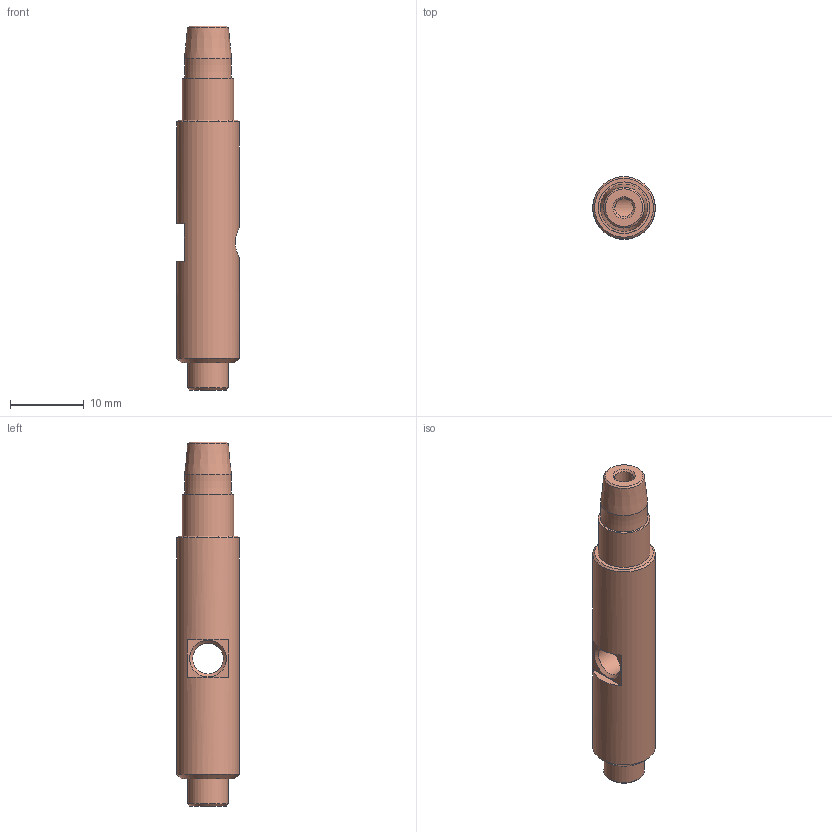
import cadquery as cq

total_length = 49.5
spigot_length = 3.7
body_length = 33.0
neck_length = 5.7
relief_length = 2.7
body_top = spigot_length + body_length
neck_top = body_top + neck_length
taper_start = neck_top + relief_length

body_diameter = 8.5
neck_diameter = 7.0
relief_end_diameter = 6.4
relief_waist_diameter = 6.3
tip_diameter = 5.5
spigot_diameter = 5.5

spigot_chamfer = 0.3
body_lower_chamfer = 0.6
body_upper_chamfer = 0.25
tip_chamfer = 0.2

flat_height = 5.1
flat_depth = 1.05
flat_x = flat_depth - body_diameter / 2
flat_center = 20.05
cross_hole_diameter = 4.2
cross_hole_countersink_depth = 0.4

bore_diameter = 2.5
bore_chamfer = 0.25


def cone_between(lower_radius, upper_radius, height):
    """Cone frustum standing on the XY plane."""
    profile = [(0, 0), (lower_radius, 0), (upper_radius, height), (0, height)]
    return cq.Workplane("XZ").polyline(profile).close().revolve(360, (0, 0), (0, 1))


def turned_section(diameter, length, lower_chamfer=0, upper_chamfer=0):
    """Cylinder standing on the XY plane with optional chamfers on its end edges."""
    section = cq.Workplane("XY").circle(diameter / 2).extrude(length)
    if lower_chamfer > 0:
        section = section.faces("<Z").chamfer(lower_chamfer)
    if upper_chamfer > 0:
        section = section.faces(">Z").chamfer(upper_chamfer)
    return section


def relief():
    """Shallow concave waist standing on the XY plane."""
    end_radius = relief_end_diameter / 2
    waist_radius = relief_waist_diameter / 2
    profile = (
        cq.Workplane("XZ")
        .lineTo(end_radius, 0)
        .threePointArc((waist_radius, relief_length / 2), (end_radius, relief_length))
        .lineTo(0, relief_length)
        .close()
    )
    return profile.revolve(360, (0, 0), (0, 1))


def shaft():
    """Stepped outer shape: spigot, body, neck, relief and tapered tip."""
    spigot = turned_section(spigot_diameter, spigot_length, spigot_chamfer)
    body = turned_section(body_diameter, body_length, body_lower_chamfer, body_upper_chamfer)
    neck = turned_section(neck_diameter, neck_length)
    tip = cone_between(relief_end_diameter / 2, tip_diameter / 2, total_length - taper_start)
    tip = tip.faces(">Z").edges().chamfer(tip_chamfer)
    return (
        spigot
        .union(body.translate((0, 0, spigot_length)))
        .union(neck.translate((0, 0, body_top)))
        .union(relief().translate((0, 0, neck_top)))
        .union(tip.translate((0, 0, taper_start)))
    )


def flat_cutter():
    """Block that removes the flat across the -X side of the body."""
    block = cq.Workplane("XY").box(body_diameter, body_diameter, flat_height)
    return block.translate((flat_x - body_diameter / 2, 0, flat_center))


def cross_hole_cutter():
    """Through hole along X, countersunk where it meets the flat."""
    hole_radius = cross_hole_diameter / 2
    hole = cq.Workplane("YZ").circle(hole_radius).extrude(body_diameter, both=True)
    countersink = cone_between(
        hole_radius + cross_hole_countersink_depth, hole_radius, cross_hole_countersink_depth
    )
    countersink = countersink.rotate((0, 0, 0), (0, 1, 0), 90).translate((flat_x, 0, 0))
    return hole.union(countersink).translate((0, 0, flat_center))


def bore_cutter():
    """Axial bore that opens into the cross hole, chamfered at the tip."""
    bore_radius = bore_diameter / 2
    bore = cq.Workplane("XY").circle(bore_radius).extrude(total_length - flat_center)
    bore = bore.translate((0, 0, flat_center))
    mouth = cone_between(bore_radius, bore_radius + bore_chamfer, bore_chamfer)
    return bore.union(mouth.translate((0, 0, total_length - bore_chamfer)))


result = shaft().cut(flat_cutter()).cut(cross_hole_cutter()).cut(bore_cutter())